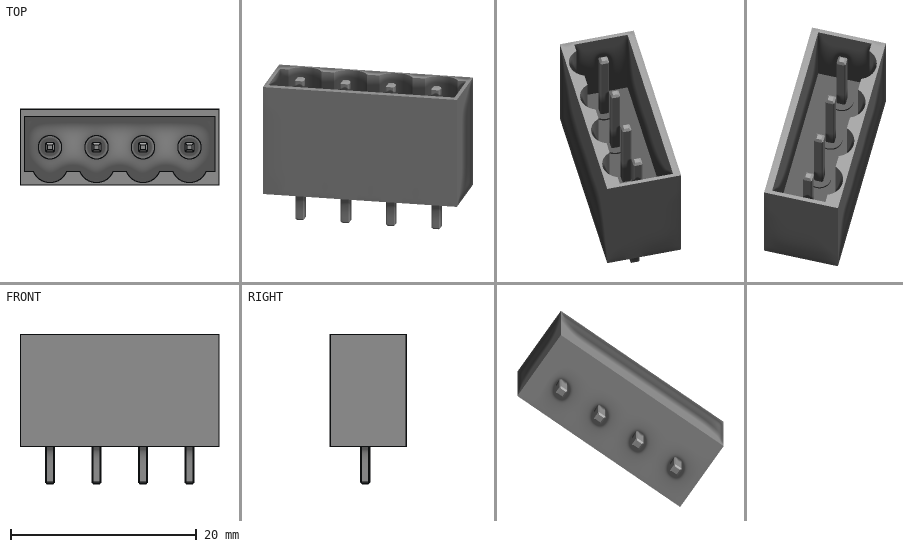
import cadquery as cq

length = 21.4
width = 8.2
housing_height = 12.1
side_wall = 0.43
back_wall = 0.8
front_wall = 1.5
cavity_depth = 8.55

scallop_radius = 1.95
scallop_skin = 0.28

pin_count = 4
pitch = 5.0
pin_size = 1.0
pin_edge_chamfer = 0.13
solder_tail_length = 4.0
tail_tip_chamfer = 0.2
mating_tip_chamfer = 0.24
mating_pin_offset = 4.09
solder_tail_offset = 3.77
collar_radius = 1.26
collar_height = 0.21

front_y = -width / 2
floor_z = housing_height - cavity_depth
pin_xs = [(i - (pin_count - 1) / 2) * pitch for i in range(pin_count)]


def row(offset_from_front):
    """Points of the contact row at a distance behind the front face."""
    return [(x, front_y + offset_from_front) for x in pin_xs]


def make_cavity():
    """Rectangular cavity widened by the front-wall scallops."""
    cavity = (
        cq.Workplane("XY", origin=(0, 0, floor_z))
        .center(0, (front_wall - back_wall) / 2)
        .rect(length - 2 * side_wall, width - front_wall - back_wall)
        .extrude(cavity_depth)
    )
    scallops = (
        cq.Workplane("XY", origin=(0, 0, floor_z))
        .pushPoints(row(scallop_skin + scallop_radius))
        .circle(scallop_radius)
        .extrude(cavity_depth)
    )
    return cavity.union(scallops)


def make_pin(bottom_z, top_z, tip_face, tip_chamfer):
    """Square pin on the Z axis with broken long edges and one tapered tip."""
    blank = (
        cq.Workplane("XY", origin=(0, 0, bottom_z))
        .rect(pin_size, pin_size)
        .extrude(top_z - bottom_z)
    )
    edged = blank.edges("|Z").chamfer(pin_edge_chamfer)
    tapered = blank.faces(tip_face).chamfer(tip_chamfer)
    return edged.intersect(tapered)


housing = cq.Workplane("XY").box(length, width, housing_height, centered=(True, True, False))
housing = housing.cut(make_cavity())

collars = (
    cq.Workplane("XY", origin=(0, 0, floor_z))
    .pushPoints(row(mating_pin_offset))
    .circle(collar_radius)
    .extrude(collar_height)
)
result = housing.union(collars)

pin_root_z = floor_z / 2
mating_pin = make_pin(pin_root_z, housing_height, ">Z", mating_tip_chamfer)
solder_tail = make_pin(-solder_tail_length, pin_root_z, "<Z", tail_tip_chamfer)

for x, y in row(mating_pin_offset):
    result = result.union(mating_pin.translate((x, y, 0)))
for x, y in row(solder_tail_offset):
    result = result.union(solder_tail.translate((x, y, 0)))